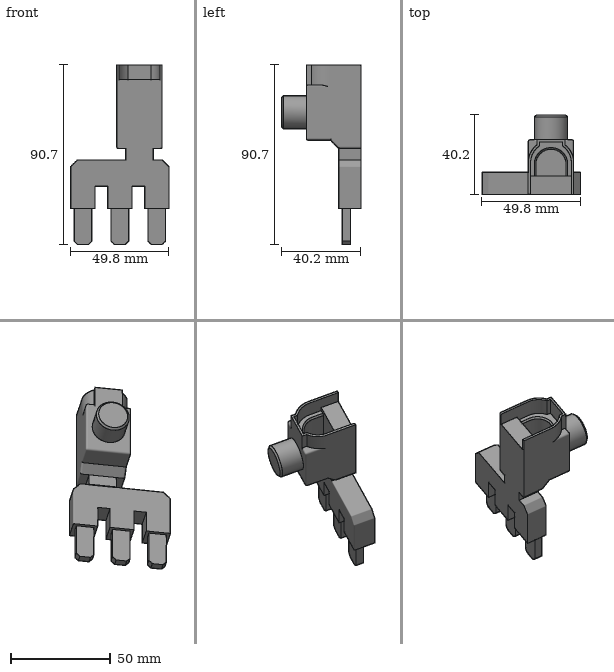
import cadquery as cq
import math

total_height = 90.7
total_depth = 40.2

block_width = 49.8
block_depth = 11.3
block_bottom = 18.1
block_top = 42.8
shoulder_chamfer = 3.5
block_edge_radius = 0.6
notch_width = 6.3
notch_top = 29.4

peg_pitch = 18.6
peg_width = 9.1
peg_front = 5.35
peg_thickness = 4.3
peg_chamfer = 1.8

tower_width = 22.95
tower_depth = 27.7
tower_bottom = 48.4
tower_rear_bottom = 52.6
tower_top = 80.5
tower_edge_radius = 1.0
tower_x = block_width / 2 - shoulder_chamfer - tower_width / 2
neck_width = 14.0

wall = 1.2
collar_center_y = 16.05
lug_width = neck_width
platform_top = 83.2
platform_depth = 9.4
wall_tip_radius = 0.9

stub_diameter = 16.9
stub_z = 66.8
stub_chamfer = 1.0

well_radius = 7.6
well_center_y = 15.2
well_chamfer = 0.8
well_floor = stub_z - stub_diameter / 2


def make_box(width, y_start, y_end, z_start, z_end, x_center=0.0):
    """Box centred on x_center between the given Y and Z limits."""
    return (
        cq.Workplane("XY", origin=(x_center, (y_start + y_end) / 2, z_start))
        .rect(width, y_end - y_start)
        .extrude(z_end - z_start)
    )


def make_block():
    """Block with bevelled shoulders, rounded rear edges and two notches between its legs."""
    block = make_box(block_width, 0, block_depth, block_bottom, block_top)
    block = block.edges("|Y and >Z").chamfer(shoulder_chamfer)
    block = block.edges("|Y").edges("not <Z").fillet(block_edge_radius)
    block = block.faces(">Y").edges("not <Z").fillet(block_edge_radius)
    for side in (-1, 1):
        notch_x = side * peg_pitch / 2
        block = block.cut(make_box(notch_width, 0, block_depth, block_bottom, notch_top, notch_x))
    return block


def make_peg(x_center):
    """Flat peg with a bevelled tip."""
    peg = make_box(peg_width, peg_front, peg_front + peg_thickness, 0, block_bottom, x_center)
    return peg.edges("|Y and <Z").chamfer(peg_chamfer)


def make_tower():
    """Tower with a sloped underside, rounded along its sides and rear."""
    slope = tower_rear_bottom - tower_bottom
    side_outline = [
        (0, tower_bottom),
        (block_depth, tower_bottom),
        (block_depth + slope, tower_rear_bottom),
        (tower_depth, tower_rear_bottom),
        (tower_depth, tower_top),
        (0, tower_top),
    ]
    tower = (
        cq.Workplane("YZ", origin=(tower_x, 0, 0))
        .polyline(side_outline)
        .close()
        .extrude(tower_width / 2, both=True)
    )
    return tower.faces("<X or >X or >Y").edges("not <Y").fillet(tower_edge_radius)


def collar_prism(inset, z_start, z_end):
    """Prism with straight sides, arched shoulders and a rear lug, offset inwards by inset."""
    radius = tower_width / 2 - inset
    half_lug = lug_width / 2 - inset
    shoulder_angle = math.acos(half_lug / radius)
    shoulder_y = collar_center_y + radius * math.sin(shoulder_angle)
    arc_x = radius * math.cos(shoulder_angle / 2)
    arc_y = collar_center_y + radius * math.sin(shoulder_angle / 2)
    return (
        cq.Workplane("XY", origin=(tower_x, 0, z_start))
        .moveTo(-radius, 0)
        .lineTo(radius, 0)
        .lineTo(radius, collar_center_y)
        .threePointArc((arc_x, arc_y), (half_lug, shoulder_y))
        .lineTo(half_lug, tower_depth - inset)
        .lineTo(-half_lug, tower_depth - inset)
        .lineTo(-half_lug, shoulder_y)
        .threePointArc((-arc_x, arc_y), (-radius, collar_center_y))
        .close()
        .extrude(z_end - z_start)
    )


def make_collar():
    """Collar wall and platform; only the front tip of the left wall is rounded."""
    outside = collar_prism(0, tower_top - tower_edge_radius, total_height)
    inside = collar_prism(wall, tower_top, total_height)
    platform = make_box(tower_width, 0, platform_depth, tower_top, platform_top, tower_x)
    collar = outside.cut(inside.cut(platform))
    left_wall_x = tower_x - (tower_width - wall) / 2
    left_tip = cq.selectors.NearestToPointSelector((left_wall_x, 0, total_height))
    return collar.edges(left_tip).fillet(wall_tip_radius)


def make_stub():
    """Round stub with a bevelled end."""
    stub = (
        cq.Workplane("XZ", origin=(tower_x, tower_depth, stub_z))
        .circle(stub_diameter / 2)
        .extrude(tower_depth - total_depth)
    )
    return stub.faces(">Y").edges().chamfer(stub_chamfer)


def sink_well(body):
    """Cut the arched well behind the platform and bevel its rim along the sides and the arch."""
    well = (
        cq.Workplane("XY", origin=(tower_x, 0, well_floor))
        .moveTo(-well_radius, platform_depth)
        .lineTo(well_radius, platform_depth)
        .lineTo(well_radius, well_center_y)
        .threePointArc((0, well_center_y + well_radius), (-well_radius, well_center_y))
        .close()
        .extrude(tower_top - well_floor)
    )
    rim_reach = well_radius + well_chamfer
    rim = cq.selectors.BoxSelector(
        (tower_x - rim_reach, platform_depth + well_chamfer, tower_top - well_chamfer),
        (tower_x + rim_reach, well_center_y + rim_reach, tower_top + well_chamfer),
    )
    return body.cut(well).edges(rim).chamfer(well_chamfer)


head = sink_well(make_tower().union(make_collar()).union(make_stub()))
neck = make_box(neck_width, 0, block_depth, block_top, tower_bottom, tower_x)
result = make_block().union(neck).union(head)
for step in (-1, 0, 1):
    result = result.union(make_peg(step * peg_pitch))